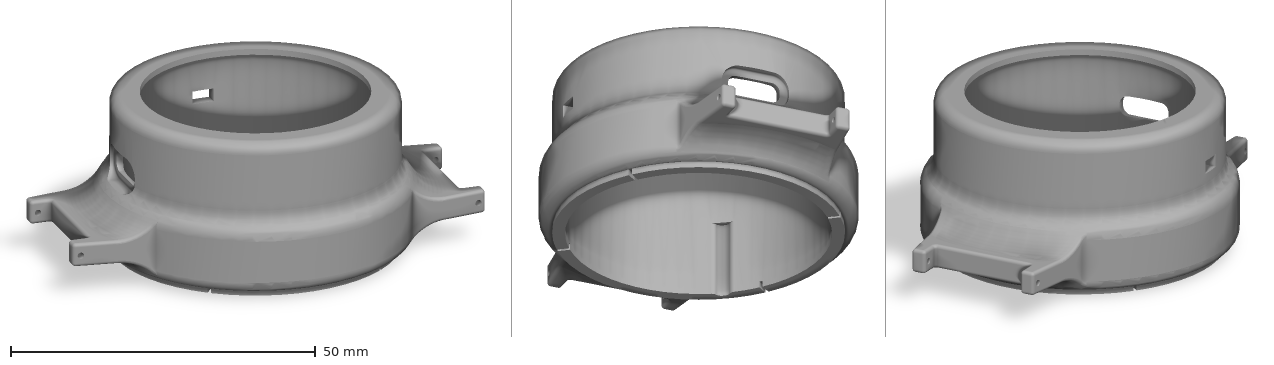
import cadquery as cq
import math

height = 26.6
body_radius = 52.5 / 2
neck_radius = 48.0 / 2
bore_radius = 43.8 / 2
window_radius = 38.0 / 2
lip_height = 1.1
rim_thickness = 1.0
rim_round = 1.95
base_round = 2.0
shoulder_bottom = 10.35
shoulder_top = 15.0

length = 72.0
lug_tip = length / 2
lug_bottom = 4.6
lug_top = 8.65
lug_blend = 6.0
lug_tip_half_width = 22.8 / 2
lug_side_angle = 8.4
lug_edge_round = 0.6
lug_root_round = 1.0
strap_gap_width = 17.9
strap_gap_floor = 32.45
strap_gap_corner = 0.4
pin_diameter = 1.1
pin_inset = 1.3
pin_height = 6.55

port_height = 16.05
port_width = 9.2
port_opening = 3.5
port_corner = 1.45
recess_width = 12.0
recess_opening = 6.2
recess_corner = 2.9
recess_floor = 22.6
recess_floor_round = 0.2

side_window_width = 3.7
side_window_height = 2.2
side_window_y = -1.2
side_window_z = 17.85

groove_angle = 56.0
groove_mouth = 4.2
groove_floor = 0.3
groove_depth = 1.1
groove_height = 12.95
slit_angle = 38.5
slit_width = 0.6

shoulder_step = body_radius - neck_radius
shoulder_rise = shoulder_top - shoulder_bottom
shoulder_turn = 2 * math.atan(shoulder_step / shoulder_rise)
shoulder_round = shoulder_rise / (2 * math.sin(shoulder_turn))
shoulder_center = body_radius - shoulder_round


def on_circle(center, radius, angle):
    """Point of a circle at an angle in radians."""
    return (center[0] + radius * math.cos(angle), center[1] + radius * math.sin(angle))


def make_body():
    """Hollow ring with a stepped, rounded outside and a rim over the bore."""
    lower_center = (shoulder_center, shoulder_bottom)
    upper_center = (neck_radius + shoulder_round, shoulder_top)
    base_center = (body_radius - base_round, lip_height + base_round)
    rim_center = (neck_radius - rim_round, height - rim_round)
    half_turn = shoulder_turn / 2
    profile = (
        cq.Workplane("XZ")
        .moveTo(bore_radius, 0)
        .lineTo(neck_radius, 0)
        .lineTo(neck_radius, lip_height)
        .lineTo(base_center[0], lip_height)
        .threePointArc(on_circle(base_center, base_round, -math.pi / 4), (body_radius, base_center[1]))
        .lineTo(body_radius, shoulder_bottom)
        .threePointArc(
            on_circle(lower_center, shoulder_round, half_turn),
            on_circle(lower_center, shoulder_round, shoulder_turn),
        )
        .threePointArc(
            on_circle(upper_center, shoulder_round, math.pi + half_turn),
            (neck_radius, shoulder_top),
        )
        .lineTo(neck_radius, rim_center[1])
        .threePointArc(on_circle(rim_center, rim_round, math.pi / 4), (rim_center[0], height))
        .lineTo(window_radius, height)
        .lineTo(window_radius, height - rim_thickness)
        .lineTo(bore_radius, height - rim_thickness)
        .close()
    )
    return profile.revolve(360, (0, 0, 0), (0, 1, 0))


def blend_points(round_center, round_radius, blend_z, flat_angle):
    """Arc tangent to a lug face and to a round of the body: body end, middle, lug end."""
    rise = blend_z - round_center[1]
    reach = math.sqrt((round_radius + lug_blend) ** 2 - rise**2)
    center = (round_center[0] + reach, blend_z)
    body_angle = math.atan2(-rise, -reach) % (2 * math.pi)
    flat_angle = flat_angle % (2 * math.pi)
    middle_angle = (body_angle + flat_angle) / 2
    return [on_circle(center, lug_blend, angle) for angle in (body_angle, middle_angle, flat_angle)]


def make_lug_skirt():
    """Disc as thick as the lugs that flares up and down where it meets the body."""
    upper = blend_points(
        (shoulder_center, shoulder_bottom), shoulder_round, lug_top + lug_blend, -math.pi / 2
    )
    lower = blend_points(
        (body_radius - base_round, lip_height + base_round),
        base_round,
        lug_bottom - lug_blend,
        math.pi / 2,
    )
    profile = (
        cq.Workplane("XZ")
        .moveTo(neck_radius, lower[0][1])
        .lineTo(*lower[0])
        .threePointArc(lower[1], lower[2])
        .lineTo(length, lug_bottom)
        .lineTo(length, lug_top)
        .lineTo(*upper[2])
        .threePointArc(upper[1], upper[0])
        .lineTo(neck_radius, upper[0][1])
        .close()
    )
    return profile.revolve(360, (0, 0, 0), (0, 1, 0))


def make_lug_plan():
    """Tapered outline of the +Y lug, with an arc leading each side into the body."""
    slope = math.radians(lug_side_angle)
    side_distance = lug_tip_half_width * math.cos(slope) + lug_tip * math.sin(slope)
    center_distance = body_radius + lug_root_round
    center_angle = slope + math.acos((side_distance + lug_root_round) / center_distance)
    center = on_circle((0, 0), center_distance, center_angle)
    body_end = on_circle((0, 0), body_radius, center_angle)
    middle = on_circle(center, lug_root_round, math.pi + (slope + center_angle) / 2)
    side_end = on_circle(center, lug_root_round, math.pi + slope)
    inner_end = on_circle((0, 0), neck_radius, center_angle)
    inner_middle = on_circle((0, 0), neck_radius, (center_angle + math.pi / 2) / 2)
    half = (
        cq.Workplane("XY")
        .moveTo(0, neck_radius)
        .lineTo(0, lug_tip)
        .lineTo(lug_tip_half_width, lug_tip)
        .lineTo(*side_end)
        .threePointArc(middle, body_end)
        .lineTo(*inner_end)
        .threePointArc(inner_middle, (0, neck_radius))
        .close()
        .extrude(height)
    )
    return half.union(half.mirror("YZ"))


def make_lug():
    """Lug on the +Y side, open at the tip for the strap and drilled for its pin."""
    gap = (
        cq.Workplane("XY")
        .rect(strap_gap_width, 2 * (lug_tip - strap_gap_floor))
        .extrude(height)
        .edges("|Z")
        .fillet(strap_gap_corner)
        .translate((0, lug_tip, 0))
    )
    lug = make_lug_skirt().intersect(make_lug_plan()).cut(gap)
    free_end = cq.selectors.BoxSelector((-length, body_radius, 0), (length, length, height))
    rims = lug.edges(free_end).edges("not |Z")
    tip_corners = lug.faces(">Y").edges("|Z")
    lug = rims.add(tip_corners).fillet(lug_edge_round)
    pin_hole = (
        cq.Workplane("YZ")
        .center(lug_tip - pin_inset, pin_height)
        .circle(pin_diameter / 2)
        .extrude(lug_tip_half_width * 2, both=True)
    )
    return lug.cut(pin_hole)


def rounded_slot(width, opening, corner):
    return cq.Sketch().rect(width, opening).vertices().fillet(corner)


def make_port():
    """Oval opening in a recess; the recess walls meet its flat floor in a small round."""
    recess_depth = body_radius - recess_floor
    recess = (
        cq.Workplane("XZ", origin=(0, -recess_floor, port_height))
        .placeSketch(rounded_slot(recess_width, recess_opening, recess_corner))
        .extrude(recess_depth)
        .faces(">Y")
        .edges()
        .fillet(recess_floor_round)
    )
    opening = (
        cq.Workplane("XZ", origin=(0, 0, port_height))
        .placeSketch(rounded_slot(port_width, port_opening, port_corner))
        .extrude(body_radius)
    )
    return recess.union(opening)


def make_side_window():
    window = cq.Workplane("XY").box(body_radius, side_window_width, side_window_height)
    return window.translate((-body_radius, side_window_y, side_window_z))


def make_groove():
    """Upright channel in the bore wall, open below, with an S of two arcs on each flank."""
    mouth_half = groove_mouth / 2
    floor_half = groove_floor / 2
    flank_run = mouth_half - floor_half
    flank_turn = 2 * math.atan(groove_depth / flank_run)
    flank_round = flank_run / (2 * math.sin(flank_turn))
    mouth_x = math.sqrt(bore_radius**2 - mouth_half**2)
    floor_x = mouth_x + groove_depth
    mouth_center = (mouth_x + flank_round, mouth_half)
    floor_center = (floor_x - flank_round, floor_half)
    half = (
        cq.Workplane("XY")
        .moveTo(window_radius, 0)
        .lineTo(window_radius, mouth_half)
        .lineTo(mouth_x, mouth_half)
        .threePointArc(
            on_circle(mouth_center, flank_round, math.pi + flank_turn / 2),
            on_circle(mouth_center, flank_round, math.pi + flank_turn),
        )
        .threePointArc(
            on_circle(floor_center, flank_round, flank_turn / 2),
            (floor_x, floor_half),
        )
        .lineTo(floor_x, 0)
        .close()
        .extrude(groove_height)
    )
    channel = half.union(half.mirror("XZ"))
    return channel.rotate((0, 0, 0), (0, 0, 1), groove_angle)


def make_slit(angle):
    """Radial cut through the bottom lip."""
    slit_length = neck_radius - window_radius
    slit = cq.Workplane("XY").box(slit_length, slit_width, lip_height, centered=(False, True, False))
    return slit.translate((window_radius, 0, 0)).rotate((0, 0, 0), (0, 0, 1), angle)


lug = make_lug()
result = make_body().union(lug).union(lug.mirror("XZ"))
result = result.cut(make_port()).cut(make_side_window()).cut(make_groove())
for angle in (slit_angle, 180 - slit_angle, 180 + slit_angle, -slit_angle):
    result = result.cut(make_slit(angle))